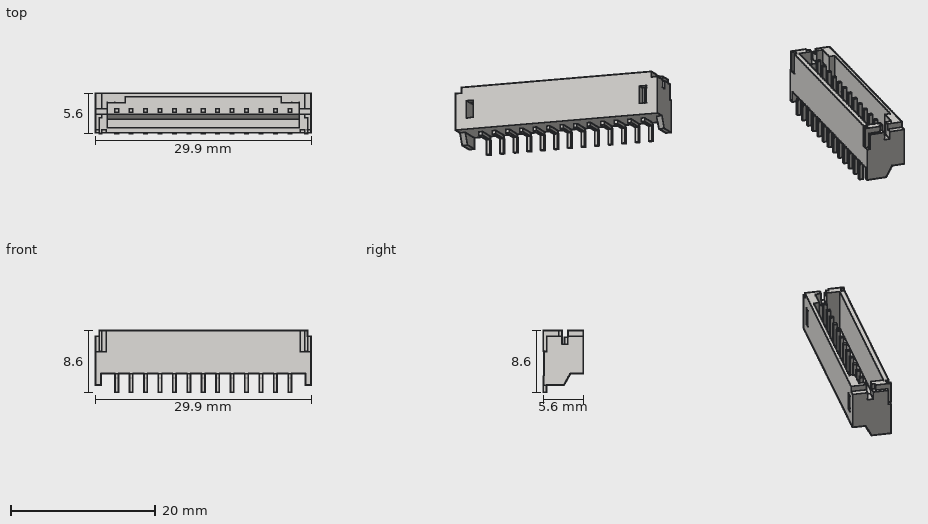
import cadquery as cq


length = 29.9
housing_depth = 5.5
top_z = 8.6
underside_z = 2.6
half_length = length / 2

cavity_half_length = 13.3
cavity_front_y = -4.8
cavity_rear_y = -1.3
recess_half_length = 10.8
recess_rear_y = -0.5
floor_z = 4.2
floor_front_z = 2.9
floor_slope_rear_y = -2.95
floor_slope_front_y = -3.6

slot_rear_y = -2.15
slot_front_y = -2.95
slot_floor_z = 6.7

window_width = 1.0
window_top_z = 6.65

shoulder_z = 7.8
shoulder_inner_x = 14.05
rib_outer_x = 14.45
rib_rear_y = -3.4
rib_bottom_z = 5.7
rib_protrusion = 0.1
front_y = -(housing_depth + rib_protrusion)

groove_inner_x = 13.45
groove_rear_y = -5.1
groove_floor_z = 5.6

foot_thickness = 0.8
foot_bottom_z = 1.0
foot_slope_top_y = -1.8
foot_slope_bottom_y = -2.7

pin_count = 13
pin_pitch = 2.0
pin_size = 0.5
pin_tip_z = 7.65
pin_rear_y = slot_rear_y
pin_bend_radius = 0.6


def block(x_range, y_range, z_range):
    """Axis-aligned box between pairs of limits."""
    corner = [min(limits) for limits in (x_range, y_range, z_range)]
    size = [max(limits) - min(limits) for limits in (x_range, y_range, z_range)]
    return cq.Workplane("XY").box(*size, centered=False).translate(tuple(corner))


def both_ends(shape):
    """A shape at the +X end together with its mirror image at the -X end."""
    return shape.union(shape.mirror("YZ"))


def profile_along_x(points, start_x, thickness):
    """Prism with a YZ outline, running in +X from start_x."""
    return cq.Workplane("YZ", origin=(start_x, 0, 0)).polyline(points).close().extrude(thickness)


def make_cavity():
    main_points = [
        (cavity_rear_y, top_z),
        (cavity_rear_y, floor_z),
        (floor_slope_rear_y, floor_z),
        (floor_slope_front_y, floor_front_z),
        (cavity_front_y, floor_front_z),
        (cavity_front_y, top_z),
    ]
    main = profile_along_x(main_points, -cavity_half_length, 2 * cavity_half_length)
    recess = block(
        (-recess_half_length, recess_half_length), (cavity_rear_y, recess_rear_y), (floor_z, top_z)
    )
    return main.union(recess)


def make_end_cuts():
    outer = (shoulder_inner_x, half_length)
    slot = block((cavity_half_length, half_length), (slot_front_y, slot_rear_y), (slot_floor_z, top_z))
    shoulder = block(outer, (-housing_depth, 0), (shoulder_z, top_z))
    grooves = block((groove_inner_x, half_length), (-housing_depth, groove_rear_y), (groove_floor_z, top_z))
    return both_ends(slot.union(shoulder).union(grooves))


def make_windows():
    window_x = (cavity_half_length - window_width, cavity_half_length)
    return both_ends(block(window_x, (cavity_rear_y, 0), (floor_z, window_top_z)))


def make_ribs():
    rib = block((shoulder_inner_x, rib_outer_x), (front_y, rib_rear_y), (rib_bottom_z, top_z))
    return both_ends(rib)


def make_feet():
    points = [
        (foot_slope_top_y, underside_z),
        (foot_slope_bottom_y, foot_bottom_z),
        (-housing_depth, foot_bottom_z),
        (-housing_depth, underside_z),
    ]
    return both_ends(profile_along_x(points, half_length - foot_thickness, foot_thickness))


def make_pin(center_x):
    pin_front_y = pin_rear_y - pin_size
    leg_rear_y = front_y + pin_size
    leg_bottom_z = underside_z - pin_size
    outline = (
        cq.Workplane("YZ", origin=(center_x - pin_size / 2, 0, 0))
        .moveTo(pin_rear_y, pin_tip_z)
        .lineTo(pin_rear_y, leg_bottom_z)
        .lineTo(leg_rear_y, leg_bottom_z)
        .lineTo(leg_rear_y, 0)
        .lineTo(front_y, 0)
        .lineTo(front_y, underside_z - pin_bend_radius)
        .radiusArc((front_y + pin_bend_radius, underside_z), pin_bend_radius)
        .lineTo(pin_front_y, underside_z)
        .lineTo(pin_front_y, pin_tip_z)
        .close()
    )
    return outline.extrude(pin_size)


housing = block((-half_length, half_length), (-housing_depth, 0), (underside_z, top_z))
housing = housing.cut(make_cavity()).cut(make_end_cuts()).cut(make_windows())
result = housing.union(make_ribs()).union(make_feet())
for index in range(pin_count):
    result = result.union(make_pin((index - (pin_count - 1) / 2) * pin_pitch))